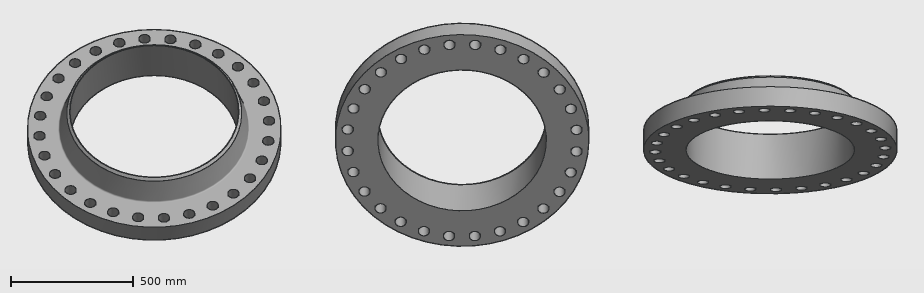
import cadquery as cq

flange_diameter = 1035.0
flange_thickness = 85.0
total_height = 196.0
bore_diameter = 687.0

bolt_count = 28
bolt_circle_diameter = 940.0
bolt_hole_diameter = 46.0

weld_land_diameter = 691.0
neck_top_diameter = 714.0
neck_base_diameter = 774.0
bevel_height = 10.0
collar_height = 6.0
root_fillet = 7.0


def flange_body():
    """Revolve the flange ring and its tapered weld neck around Z."""
    bore_radius = bore_diameter / 2
    bevel_bottom = total_height - bevel_height
    body = (
        cq.Workplane("XZ")
        .moveTo(bore_radius, 0)
        .lineTo(flange_diameter / 2, 0)
        .lineTo(flange_diameter / 2, flange_thickness)
        .lineTo(neck_base_diameter / 2, flange_thickness)
        .lineTo(neck_top_diameter / 2, bevel_bottom - collar_height)
        .lineTo(neck_top_diameter / 2, bevel_bottom)
        .lineTo(weld_land_diameter / 2, total_height)
        .lineTo(bore_radius, total_height)
        .close()
        .revolve(360, (0, 0, 0), (0, 1, 0))
    )
    root_edge = cq.selectors.RadiusNthSelector(-2)
    return body.edges("%CIRCLE").edges(root_edge).fillet(root_fillet)


def bolt_holes():
    """Cutters for the through holes, the first one on the +X axis."""
    return (
        cq.Workplane("XY")
        .polarArray(bolt_circle_diameter / 2, 0, 360, bolt_count)
        .circle(bolt_hole_diameter / 2)
        .extrude(flange_thickness)
    )


result = flange_body().cut(bolt_holes())